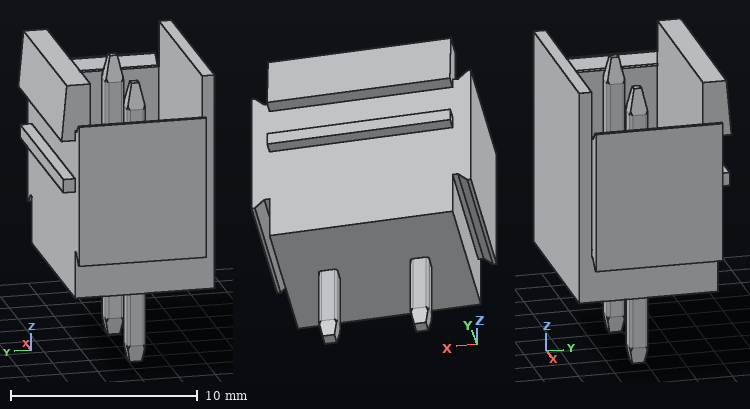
import cadquery as cq

housing_width = 10.0
housing_height = 12.0
housing_depth = 7.69
front_wall = 0.7
back_wall = 0.84
floor_height = 3.0

overall_depth = 8.43
latch_bottom = 8.88
latch_top_depth = 8.15
rib_bottom = 5.99
rib_height = 0.75
rib_depth = 8.33

overall_width = 12.0
flare_bottom = 2.11
flare_top = 9.93
flare_rise = 0.51
flare_run = 0.51
lip_thickness = 0.2
side_wall = (overall_width - housing_width) / 2
side_root = side_wall - flare_run - lip_thickness

pin_count = 2
pin_pitch = 5.0
pin_size = 1.02
pin_edge_radius = 0.16
pin_depth = 3.83
overall_height = 16.5
pin_bottom = housing_height - overall_height
pin_top = 11.12
bottom_taper = 0.95
bottom_tip = 0.66
top_taper = 1.4
top_tip = 0.41


def bar(depth_start, depth_end, bottom, top):
    """Rectangular bar across the full width of the housing."""
    return cq.Workplane("XY").box(
        housing_width, depth_end - depth_start, top - bottom, centered=(True, False, False)
    ).translate((0, depth_start, bottom))


def make_latch():
    """Overhang whose back face leans inwards towards the top."""
    inner_depth = housing_depth - back_wall
    return (
        cq.Workplane("YZ")
        .moveTo(inner_depth, latch_bottom)
        .lineTo(overall_depth, latch_bottom)
        .lineTo(latch_top_depth, housing_height)
        .lineTo(inner_depth, housing_height)
        .close()
        .extrude(housing_width / 2, both=True)
    )


def make_side_wall(side):
    """Flared wall on the -X (side = -1) or +X (side = 1) end of the block."""
    inner = side * housing_width / 2
    root = inner + side * side_root
    flare = root + side * flare_run
    outer = side * overall_width / 2
    outline = [
        (inner, flare_bottom + flare_rise),
        (root, flare_bottom + flare_rise),
        (flare, flare_bottom),
        (outer, flare_bottom),
        (outer, flare_top),
        (flare, flare_top),
        (root, flare_top - flare_rise),
        (inner, flare_top - flare_rise),
    ]
    return (
        cq.Workplane("XZ", origin=(0, front_wall, 0))
        .polyline(outline)
        .close()
        .extrude(front_wall - housing_depth)
    )


def make_pin(x):
    """Square pin with rounded edges and a tapered point at each end."""
    base = cq.Workplane("XY", origin=(x, pin_depth, pin_bottom))
    shaft_bottom = pin_bottom + bottom_taper
    shaft_top = pin_top - top_taper
    lower_point = (
        base.rect(bottom_tip, bottom_tip)
        .workplane(offset=bottom_taper)
        .rect(pin_size, pin_size)
        .loft(ruled=True)
    )
    shaft = (
        cq.Workplane("XY", origin=(x, pin_depth, shaft_bottom))
        .rect(pin_size, pin_size)
        .extrude(shaft_top - shaft_bottom)
    )
    upper_point = (
        cq.Workplane("XY", origin=(x, pin_depth, shaft_top))
        .rect(pin_size, pin_size)
        .workplane(offset=top_taper)
        .rect(top_tip, top_tip)
        .loft(ruled=True)
    )
    rounded_bar = (
        base.rect(pin_size, pin_size)
        .extrude(pin_top - pin_bottom)
        .edges("|Z")
        .fillet(pin_edge_radius)
    )
    return lower_point.union(shaft).union(upper_point).intersect(rounded_bar)


pins = [make_pin((i - (pin_count - 1) / 2) * pin_pitch) for i in range(pin_count)]

housing = bar(0, housing_depth, 0, floor_height)
housing = housing.union(bar(0, front_wall, 0, housing_height))
housing = housing.union(bar(housing_depth - back_wall, housing_depth, 0, housing_height))
housing = housing.union(make_latch())
housing = housing.union(bar(housing_depth - back_wall, rib_depth, rib_bottom, rib_bottom + rib_height))
for side in (-1, 1):
    housing = housing.union(make_side_wall(side))

for pin in pins:
    housing = housing.cut(pin)

result = cq.Compound.makeCompound([housing.val(), *[pin.val() for pin in pins]])